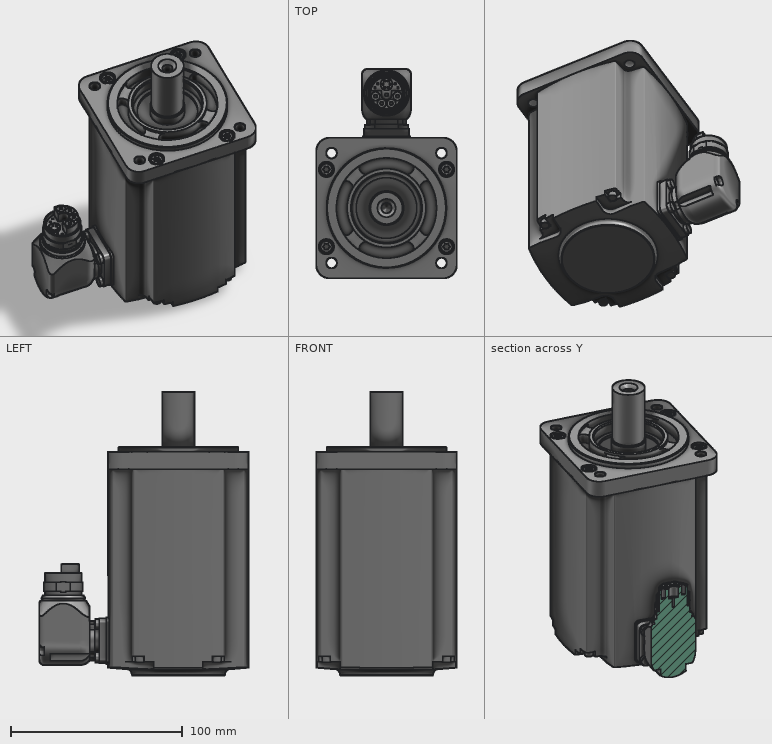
import cadquery as cq
import math


FLANGE_SIZE = 82.0
FLANGE_THICKNESS = 10.0
FLANGE_CORNER_RADIUS = 8.0
MOUNT_HOLE_DIAMETER = 6.0
MOUNT_HOLE_CHAMFER = 0.2
MOUNT_HOLE_OFFSET = 32.0
PILOT_DIAMETER = 70.0
PILOT_HEIGHT = 3.0
PILOT_CHAMFER = 0.5
GROOVE_OUTER_RADIUS = 29.2
GROOVE_INNER_RADIUS = 22.9
GROOVE_FLOOR = 1.5
SLOT_FLOOR = -4.0
SPOKE_WIDTH = 9.0
SPOKE_FILLET = 2.5
BORE_RADIUS = 20.2
BORE_MOUTH_RADIUS = 20.8
BORE_MOUTH_DEPTH = 1.0
BORE_LEDGE = -3.6
SEAL_RADIUS = 17.7
SEAL_FLOOR = -5.0

SHAFT_DIAMETER = 19.0
SHAFT_TOP = 35.0
COLLAR_DIAMETER = 20.0
COLLAR_TOP = 0.8
RELIEF_DIAMETER = 18.6
RELIEF_HEIGHT = 0.8
CENTRE_HOLE_DIAMETER = 6.0
CENTRE_HOLE_DEPTH = 16.0
CENTRE_MOUTH_DIAMETER = 10.6
CENTRE_MOUTH_DEPTH = 2.3
CENTRE_TIP_DEPTH = 1.7

SCREW_X = 35.0
SCREW_Y = 22.5
SCREW_RECESS_DIAMETER = 9.0
SCREW_HEAD_DIAMETER = 8.0
SCREW_HEAD_INNER_DIAMETER = 5.3
SCREW_SOCKET_DIAMETER = 4.4
SCREW_SOCKET_INNER_DIAMETER = 3.0
SCREW_SOCKET_LOBES = 6
SCREW_RECESS_DEPTH = 5.5
SCREW_HEAD_TOP = -0.5
SCREW_SOCKET_DEPTH = 2.5
SCREW_SHANK_DIAMETER = 4.92

BODY_HALF = FLANGE_SIZE / 2
BULGE_HALF_WIDTH = 25.2
BULGE_SAG = 2.5
BULGE_EDGE_RADIUS = 1.0
NOTCH_WALL = 27.0
NOTCH_FILLET = 3.5
BODY_BOTTOM_OUTER = -125.1
BODY_BOTTOM_INNER = -126.7
BODY_CORNER_REACH = 48.0

BASE_BOTTOM = -130.2
BASE_RADIUS = 27.2
BASE_FLARE_RADIUS = 28.9
BASE_CHAMFER = 0.4

FOOT_POCKET_TOP = -122.3
FOOT_POCKET_X = 27.0
FOOT_POCKET_Y = 14.3
FOOT_POCKET_RADIUS = 5.2
WINDOW_TOP = -119.0
WINDOW_X = 32.9
WINDOW_Y = 19.8
SHANK_BOTTOM = -122.6
SHANK_OVERLAP = 1.0

PLUG_Z = -109.9
GASKET_SIZE = 27.4
GASKET_TOP = 41.9
GASKET_OVERLAP = 1.0
PLATE_SIZE = 26.4
PLATE_TOP = 46.2
PLATE_CORNER_RADIUS = 3.0
PLATE_SCREW_OFFSET = 9.75
PLATE_SCREW_HEAD_DIAMETER = 6.0
PLATE_SCREW_HEAD_TOP = 48.4
NECK_RADIUS = 9.9
TURNTABLE_RADIUS = 11.6
TURNTABLE_BOTTOM = 48.8
TURNTABLE_BITE_RADIUS = 3.25

HOUSING_FRONT = 51.7
HOUSING_BACK = 81.0
HOUSING_HALF_WIDTH = 14.3
HOUSING_BACK_RADIUS = 3.0
HOUSING_TAPER_START = 57.5
HOUSING_TAPER_INSET = 2.6
HOUSING_TOP = -86.6
SHOULDER_TOP_RADIUS = 13.3
SHOULDER_SLOPE = 1.65
GRIP_HALF_WIDTH = 8.1
GRIP_BOTTOM = -121.6
GRIP_TOP = -117.4
GRIP_BACK = 74.5
COVER_SCREW_X = 11.0
COVER_SCREW_Z = -115.3
COVER_SCREW_DIAMETER = 6.0
COVER_SCREW_DEPTH = 2.8

SOCKET_Y = 67.0
RIDGE_RADIUS = 12.9
RIDGE_TOP_RADIUS = 11.9
RIDGE_MIDDLE = -85.3
RIDGE_TOP = -83.5
SOCKET_DIAMETER = 21.55
NUT_DIAMETER = 22.9
NUT_BOTTOM = -81.2
NUT_TOP = -75.9
NUT_FLAT_DISTANCE = 10.67
NUT_FLAT_OVERRUN = 0.4
SOCKET_TOP = -70.2
SOCKET_CHAMFER = 0.4
SOCKET_BORE_DIAMETER = 20.0
SOCKET_FLOOR = -79.0
INSERT_RADIUS = 9.3
INSERT_TOP = -72.0
CONTACT_BLOCK_TOP = -65.5
CONTACT_BLOCK_EDGE = 1.2
SLEEVE_TOP = -65.2
SLEEVE_DIAMETER = 5.1
PIN_HOLE_DIAMETER = 1.99
PIN_HOLE_DEPTH = 6.0
POWER_PINS = ((6.4, -1.9), (2.8, -6.05))
TONGUE_HALF_WIDTH = 3.0
TONGUE_END = -1.0
SIGNAL_HOLE_DIAMETER = 0.99
SIGNAL_PINS = ((5.1, 5.4), (6.7, 3.1))
CODING_Y = 5.1
CODING_CIRCLE_DIAMETER = 4.2
CODING_HOLE_DIAMETER = 1.0
CODING_HOLE_COUNT = 6
CODING_HOLE_DEPTH = 1.0
CODING_RECESS_DIAMETER = 7.0
CODING_RECESS_DEPTH = 0.5
KEY_HALF_WIDTH = 2.3
KEY_HEIGHT = 0.6


def cylinder(diameter, bottom, top, x=0.0, y=0.0):
    """Vertical cylinder between two heights."""
    return cq.Workplane("XY", origin=(x, y, bottom)).circle(diameter / 2).extrude(top - bottom)


def cylinder_along_y(diameter, start, end, x=0.0, z=0.0):
    """Cylinder along +Y between two Y positions."""
    return cq.Workplane("XZ", origin=(x, start, z)).circle(diameter / 2).extrude(start - end)


def box(x_range, y_range, z_range):
    """Box given by its limits along each axis."""
    size = [high - low for low, high in (x_range, y_range, z_range)]
    corner = (x_range[0], y_range[0], z_range[0])
    return cq.Workplane("XY").box(*size, centered=False).translate(corner)


def square_plate_along_y(size, start, end):
    """Square connector plate with rounded corners, standing on the +Y side."""
    plate = cq.Workplane("XZ", origin=(0, start, PLUG_Z)).rect(size, size).extrude(start - end)
    return plate.edges("|Y").fillet(PLATE_CORNER_RADIUS)


def in_four_quadrants(solid):
    """The solid together with its mirror images in X, in Y and in both."""
    pair = solid.union(solid.mirror("YZ"))
    return pair.union(pair.mirror("XZ"))


def revolve_about_z(points, y=0.0):
    """Turn a closed (radius, z) outline about a vertical axis at the given Y."""
    outline = cq.Workplane("XZ", origin=(0, y, 0)).polyline(points).close()
    return outline.revolve(360, (0, 0, 0), (0, 1, 0))


def body_prism():
    """Bulged body section, the same on all four sides."""
    edge_y = -(BODY_HALF - BULGE_SAG)
    edge_mid = BULGE_EDGE_RADIUS * math.sqrt(0.5)
    edge_centre_y = edge_y + BULGE_EDGE_RADIUS
    edge_x = BULGE_HALF_WIDTH + BULGE_EDGE_RADIUS
    edge_mid_x = BULGE_HALF_WIDTH + edge_mid
    edge_mid_y = edge_centre_y - edge_mid
    fillet_end = NOTCH_WALL + NOTCH_FILLET
    fillet_mid = fillet_end - NOTCH_FILLET * math.sqrt(0.5)

    def turned(x, y, quarter):
        for _ in range(quarter):
            x, y = -y, x
        return x, y

    outline = cq.Workplane("XY", origin=(0, 0, -FLANGE_THICKNESS)).moveTo(-BULGE_HALF_WIDTH, edge_y)
    for quarter in range(4):
        def at(x, y):
            return turned(x, y, quarter)

        outline = (
            outline.threePointArc(at(0, -BODY_HALF), at(BULGE_HALF_WIDTH, edge_y))
            .threePointArc(at(edge_mid_x, edge_mid_y), at(edge_x, edge_centre_y))
            .lineTo(*at(NOTCH_WALL, -fillet_end))
            .threePointArc(at(fillet_mid, -fillet_mid), at(fillet_end, -NOTCH_WALL))
            .lineTo(*at(-edge_centre_y, -edge_x))
            .threePointArc(at(-edge_mid_y, -edge_mid_x), at(-edge_y, -BULGE_HALF_WIDTH))
        )
    return outline.close().extrude(BASE_BOTTOM + FLANGE_THICKNESS)


def body_envelope():
    """Turned shape that gives the body its conical underside and round boss."""
    rim_z = BASE_BOTTOM + BASE_CHAMFER
    flare_width = BASE_FLARE_RADIUS - BASE_RADIUS
    flare_height = BODY_BOTTOM_INNER - rim_z
    arc_radius = (flare_width ** 2 + flare_height ** 2) / (2 * flare_width)
    half_sweep = math.asin(flare_height / arc_radius) / 2
    flare_mid = (
        BASE_RADIUS + arc_radius * (1 - math.cos(half_sweep)),
        rim_z + arc_radius * math.sin(half_sweep),
    )
    outline = (
        cq.Workplane("XZ")
        .moveTo(0, -FLANGE_THICKNESS)
        .lineTo(BODY_CORNER_REACH, -FLANGE_THICKNESS)
        .lineTo(BODY_CORNER_REACH, BODY_BOTTOM_OUTER)
        .lineTo(BASE_FLARE_RADIUS, BODY_BOTTOM_INNER)
        .threePointArc(flare_mid, (BASE_RADIUS, rim_z))
        .lineTo(BASE_RADIUS - BASE_CHAMFER, BASE_BOTTOM)
        .lineTo(0, BASE_BOTTOM)
        .close()
    )
    return outline.revolve(360, (0, 0, 0), (0, 1, 0))


def foot_recess():
    """Open pocket under one screw and the smaller window above it."""
    reach = BODY_CORNER_REACH
    pocket = box((FOOT_POCKET_X, reach), (FOOT_POCKET_Y, reach), (BASE_BOTTOM, FOOT_POCKET_TOP))
    pocket = pocket.edges("|Z and <X and <Y").fillet(FOOT_POCKET_RADIUS)
    window = box((WINDOW_X, reach), (WINDOW_Y, reach), (BASE_BOTTOM, WINDOW_TOP))
    return pocket.union(window)


def motor_body():
    """Body with the foot recesses and the screw shanks that show in them."""
    body = body_prism().intersect(body_envelope())
    body = body.cut(in_four_quadrants(foot_recess()))
    shank = cylinder(SCREW_SHANK_DIAMETER, SHANK_BOTTOM, WINDOW_TOP + SHANK_OVERLAP, SCREW_X, SCREW_Y)
    return body.union(in_four_quadrants(shank))


def pilot_groove():
    """Ring-shaped groove in the pilot, crossed by four lower spokes on the diagonals."""
    depth = (SLOT_FLOOR, PILOT_HEIGHT)
    groove = cylinder(2 * GROOVE_OUTER_RADIUS, *depth)
    groove = groove.cut(cylinder(2 * GROOVE_INNER_RADIUS, *depth))
    bar = box(
        (-GROOVE_OUTER_RADIUS, GROOVE_OUTER_RADIUS),
        (-SPOKE_WIDTH / 2, SPOKE_WIDTH / 2),
        (SLOT_FLOOR, GROOVE_FLOOR),
    )
    for angle in (45, -45):
        groove = groove.cut(bar.rotate((0, 0, 0), (0, 0, 1), angle))
    spoke_middle = (SLOT_FLOOR + GROOVE_FLOOR) / 2
    reach = GROOVE_OUTER_RADIUS
    margin = 0.1
    spoke_edges = cq.selectors.BoxSelector(
        (-reach, -reach, spoke_middle - margin), (reach, reach, spoke_middle + margin)
    )
    return groove.edges("|Z").edges(spoke_edges).fillet(SPOKE_FILLET)


def screw_head():
    """Chamfered head of one flange screw with a star-shaped socket."""
    head = cylinder(SCREW_HEAD_DIAMETER, -SCREW_RECESS_DEPTH, SCREW_HEAD_TOP, SCREW_X, SCREW_Y)
    head = head.faces(">Z").chamfer((SCREW_HEAD_DIAMETER - SCREW_HEAD_INNER_DIAMETER) / 4)
    star = []
    for corner in range(2 * SCREW_SOCKET_LOBES):
        radius = (SCREW_SOCKET_DIAMETER, SCREW_SOCKET_INNER_DIAMETER)[corner % 2] / 2
        angle = math.pi * corner / SCREW_SOCKET_LOBES
        star.append((radius * math.cos(angle), radius * math.sin(angle)))
    socket = (
        cq.Workplane("XY", origin=(SCREW_X, SCREW_Y, SCREW_HEAD_TOP))
        .polyline(star)
        .close()
        .extrude(-SCREW_SOCKET_DEPTH)
    )
    return head.cut(socket)


def flange():
    """Square flange with pilot, seal seat, mounting holes and screws."""
    plate = cq.Workplane("XY").rect(FLANGE_SIZE, FLANGE_SIZE).extrude(-FLANGE_THICKNESS)
    plate = plate.edges("|Z").fillet(FLANGE_CORNER_RADIUS)
    pilot = cylinder(PILOT_DIAMETER, 0, PILOT_HEIGHT).faces(">Z").chamfer(PILOT_CHAMFER)
    plate = plate.union(pilot)

    plate = plate.cut(pilot_groove())

    seal_seat = revolve_about_z([
        (0, SEAL_FLOOR),
        (SEAL_RADIUS, SEAL_FLOOR),
        (SEAL_RADIUS, BORE_LEDGE),
        (BORE_RADIUS, BORE_LEDGE),
        (BORE_RADIUS, PILOT_HEIGHT - BORE_MOUTH_DEPTH),
        (BORE_MOUTH_RADIUS, PILOT_HEIGHT),
        (0, PILOT_HEIGHT),
    ])
    plate = plate.cut(seal_seat)

    hole_radius = MOUNT_HOLE_DIAMETER / 2
    mount_hole = revolve_about_z([
        (0, -FLANGE_THICKNESS),
        (hole_radius, -FLANGE_THICKNESS),
        (hole_radius, -MOUNT_HOLE_CHAMFER),
        (hole_radius + MOUNT_HOLE_CHAMFER, 0),
        (0, 0),
    ])
    mount_hole = mount_hole.translate((MOUNT_HOLE_OFFSET, MOUNT_HOLE_OFFSET, 0))
    recess = cylinder(SCREW_RECESS_DIAMETER, -SCREW_RECESS_DEPTH, 0, SCREW_X, SCREW_Y)
    plate = plate.cut(in_four_quadrants(mount_hole)).cut(in_four_quadrants(recess))
    return plate.union(in_four_quadrants(screw_head()))


def shaft():
    """Shaft with a collar, a relief groove and a countersunk centre hole."""
    relief_top = COLLAR_TOP + RELIEF_HEIGHT
    hole_bottom = SHAFT_TOP - CENTRE_HOLE_DEPTH
    bar = revolve_about_z([
        (0, SEAL_FLOOR),
        (COLLAR_DIAMETER / 2, SEAL_FLOOR),
        (COLLAR_DIAMETER / 2, COLLAR_TOP),
        (RELIEF_DIAMETER / 2, COLLAR_TOP),
        (RELIEF_DIAMETER / 2, relief_top),
        (SHAFT_DIAMETER / 2, relief_top),
        (SHAFT_DIAMETER / 2, SHAFT_TOP),
        (0, SHAFT_TOP),
    ])
    centre_hole = revolve_about_z([
        (0, hole_bottom - CENTRE_TIP_DEPTH),
        (CENTRE_HOLE_DIAMETER / 2, hole_bottom),
        (CENTRE_HOLE_DIAMETER / 2, SHAFT_TOP - CENTRE_MOUTH_DEPTH),
        (CENTRE_MOUTH_DIAMETER / 2, SHAFT_TOP),
        (0, SHAFT_TOP),
    ])
    return bar.cut(centre_hole)


def connector_mount():
    """Gasket, screwed plate and the round turntable next to the housing."""
    mount = square_plate_along_y(GASKET_SIZE, BODY_HALF - GASKET_OVERLAP, GASKET_TOP)
    mount = mount.union(square_plate_along_y(PLATE_SIZE, GASKET_TOP, PLATE_TOP))
    mount = mount.union(cylinder_along_y(2 * NECK_RADIUS, PLATE_TOP, TURNTABLE_BOTTOM, 0, PLUG_Z))
    turntable = cylinder_along_y(2 * TURNTABLE_RADIUS, TURNTABLE_BOTTOM, HOUSING_FRONT, 0, PLUG_Z)
    for x in (-PLATE_SCREW_OFFSET, PLATE_SCREW_OFFSET):
        for z in (PLUG_Z - PLATE_SCREW_OFFSET, PLUG_Z + PLATE_SCREW_OFFSET):
            head = cylinder_along_y(PLATE_SCREW_HEAD_DIAMETER, PLATE_TOP, PLATE_SCREW_HEAD_TOP, x, z)
            mount = mount.union(head)
            bite = cylinder_along_y(2 * TURNTABLE_BITE_RADIUS, TURNTABLE_BOTTOM, HOUSING_FRONT, x, z)
            turntable = turntable.cut(bite)
    return mount.union(turntable)


def housing_half_plan():
    """Half outline of the housing: Y axis, tapered front and rounded back corner."""
    run = HOUSING_TAPER_START - HOUSING_FRONT
    taper_radius = (run ** 2 + HOUSING_TAPER_INSET ** 2) / (2 * HOUSING_TAPER_INSET)
    half_sweep = math.asin(run / taper_radius) / 2
    taper_mid = (
        HOUSING_HALF_WIDTH - taper_radius * (1 - math.cos(half_sweep)),
        HOUSING_TAPER_START - taper_radius * math.sin(half_sweep),
    )
    back_inset = HOUSING_BACK_RADIUS * (1 - math.sqrt(0.5))
    return (
        cq.Workplane("XY", origin=(0, 0, PLUG_Z))
        .moveTo(0, HOUSING_FRONT)
        .lineTo(HOUSING_HALF_WIDTH - HOUSING_TAPER_INSET, HOUSING_FRONT)
        .threePointArc(taper_mid, (HOUSING_HALF_WIDTH, HOUSING_TAPER_START))
        .lineTo(HOUSING_HALF_WIDTH, HOUSING_BACK - HOUSING_BACK_RADIUS)
        .threePointArc(
            (HOUSING_HALF_WIDTH - back_inset, HOUSING_BACK - back_inset),
            (HOUSING_HALF_WIDTH - HOUSING_BACK_RADIUS, HOUSING_BACK),
        )
        .lineTo(0, HOUSING_BACK)
        .close()
    )


def connector_housing():
    """Angled housing: rounded underside, straight sides and conical shoulder."""
    upper_half = housing_half_plan().extrude(HOUSING_TOP - PLUG_Z)
    underside = housing_half_plan().revolve(360, (0, 0, 0), (0, 1, 0))
    housing = upper_half.union(upper_half.mirror("YZ")).union(underside)

    grip = box(
        (GRIP_HALF_WIDTH, HOUSING_HALF_WIDTH), (HOUSING_FRONT, GRIP_BACK), (GRIP_BOTTOM, GRIP_TOP)
    )
    cover_screw = cylinder_along_y(
        COVER_SCREW_DIAMETER, HOUSING_BACK - COVER_SCREW_DEPTH, HOUSING_BACK, COVER_SCREW_X, COVER_SCREW_Z
    )
    for recess in (grip, cover_screw):
        housing = housing.cut(recess).cut(recess.mirror("YZ"))

    shoulder_radius = 2 * HOUSING_HALF_WIDTH
    shoulder_drop = (shoulder_radius - SHOULDER_TOP_RADIUS) * SHOULDER_SLOPE
    bottom = PLUG_Z - HOUSING_HALF_WIDTH
    shoulder = revolve_about_z([
        (0, bottom),
        (shoulder_radius, bottom),
        (shoulder_radius, HOUSING_TOP - shoulder_drop),
        (SHOULDER_TOP_RADIUS, HOUSING_TOP),
        (0, HOUSING_TOP),
    ], SOCKET_Y)
    return housing.intersect(shoulder)


def socket_shell():
    """Turned socket body with ridge, flatted nut and open top."""
    barrel_radius = SOCKET_DIAMETER / 2
    nut_radius = NUT_DIAMETER / 2
    shell = revolve_about_z([
        (0, HOUSING_TOP),
        (RIDGE_TOP_RADIUS, HOUSING_TOP),
        (RIDGE_RADIUS, RIDGE_MIDDLE),
        (RIDGE_TOP_RADIUS, RIDGE_TOP),
        (barrel_radius, RIDGE_TOP),
        (barrel_radius, SOCKET_TOP - SOCKET_CHAMFER),
        (barrel_radius - SOCKET_CHAMFER, SOCKET_TOP),
        (0, SOCKET_TOP),
    ], SOCKET_Y)
    shell = shell.union(cylinder(NUT_DIAMETER, NUT_BOTTOM, NUT_TOP, 0, SOCKET_Y))
    flat = box(
        (NUT_FLAT_DISTANCE, nut_radius),
        (SOCKET_Y - nut_radius, SOCKET_Y + nut_radius),
        (NUT_BOTTOM - NUT_FLAT_OVERRUN, NUT_TOP + NUT_FLAT_OVERRUN),
    )
    shell = shell.cut(flat).cut(flat.mirror("YZ"))
    return shell.cut(cylinder(SOCKET_BORE_DIAMETER, SOCKET_FLOOR, SOCKET_TOP, 0, SOCKET_Y))


def contact_insert():
    """Insulating insert: a disc with a raised block around the power pins."""
    insert = cylinder(2 * INSERT_RADIUS, SOCKET_FLOOR, INSERT_TOP)
    block_heights = (INSERT_TOP, CONTACT_BLOCK_TOP)
    block = cylinder(2 * INSERT_RADIUS, *block_heights)
    block_range = ((-INSERT_RADIUS, INSERT_RADIUS), (-INSERT_RADIUS, CONTACT_BLOCK_EDGE))
    block = block.intersect(box(*block_range, block_heights))
    tongue_range = ((-TONGUE_HALF_WIDTH, TONGUE_HALF_WIDTH), (TONGUE_END, CONTACT_BLOCK_EDGE))
    tongue = box(*tongue_range, block_heights)
    tongue = tongue.union(cylinder(2 * TONGUE_HALF_WIDTH, *block_heights, 0, TONGUE_END))
    insert = insert.union(block.cut(tongue))

    for side in (-1, 1):
        for x, y in POWER_PINS:
            insert = insert.union(cylinder(SLEEVE_DIAMETER, INSERT_TOP, SLEEVE_TOP, side * x, y))
            insert = insert.cut(
                cylinder(PIN_HOLE_DIAMETER, SLEEVE_TOP - PIN_HOLE_DEPTH, SLEEVE_TOP, side * x, y)
            )
        for x, y in SIGNAL_PINS:
            insert = insert.cut(cylinder(SIGNAL_HOLE_DIAMETER, SOCKET_FLOOR, INSERT_TOP, side * x, y))

    earth_hole = cylinder(PIN_HOLE_DIAMETER, INSERT_TOP - PIN_HOLE_DEPTH, INSERT_TOP, 0, TONGUE_END)
    recess_floor = INSERT_TOP - CODING_RECESS_DEPTH
    coding_recess = cylinder(CODING_RECESS_DIAMETER, recess_floor, INSERT_TOP, 0, CODING_Y)
    coding_holes = (
        cq.Workplane("XY", origin=(0, CODING_Y, recess_floor))
        .polarArray(CODING_CIRCLE_DIAMETER / 2, 0, 360, CODING_HOLE_COUNT)
        .circle(CODING_HOLE_DIAMETER / 2)
        .extrude(-CODING_HOLE_DEPTH)
    )
    insert = insert.cut(earth_hole).cut(coding_recess).cut(coding_holes)
    key = box(
        (-KEY_HALF_WIDTH, KEY_HALF_WIDTH),
        (-SOCKET_BORE_DIAMETER / 2, KEY_HEIGHT - SOCKET_BORE_DIAMETER / 2),
        (SOCKET_FLOOR, INSERT_TOP),
    )
    return insert.union(key).translate((0, SOCKET_Y, 0))


def connector():
    """Complete angled connector from the gasket to the contacts."""
    housing = connector_mount().union(connector_housing())
    return housing.union(socket_shell()).union(contact_insert())


result = flange().union(shaft()).union(motor_body()).union(connector())